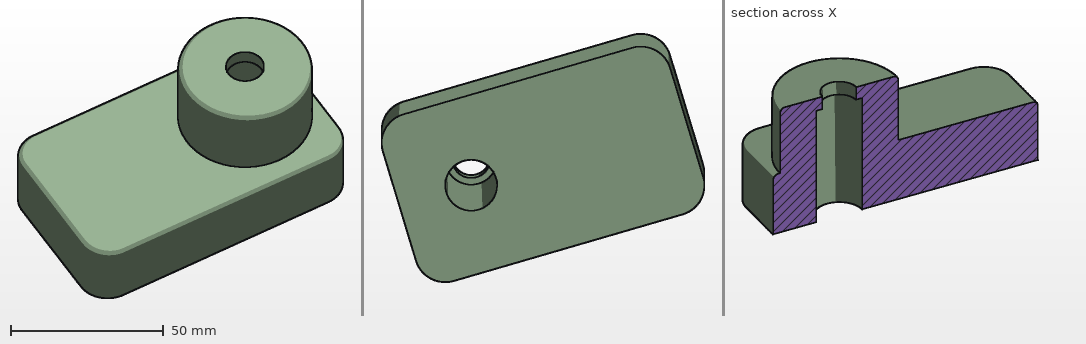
import cadquery as cq

base_width = 58.0
base_length = 98.0
base_height = 23.0
corner_radius = 10.0

total_height = 48.0
boss_diameter = 44.0
boss_center_y = 24.5

edge_radius = 2.0

hole_diameter = 12.4
bore_diameter = 17.0
roof_thickness = 5.0


def make_base():
    block = cq.Workplane("XY").box(base_width, base_length, base_height, centered=(True, True, False))
    return block.edges("|Z").fillet(corner_radius).faces(">Z").edges().fillet(edge_radius)


def boss_cylinder(diameter, bottom, top):
    return (
        cq.Workplane("XY", origin=(0, boss_center_y, bottom))
        .circle(diameter / 2)
        .extrude(top - bottom)
    )


boss = boss_cylinder(boss_diameter, 0, total_height).faces(">Z").edges().fillet(edge_radius)
bore = boss_cylinder(bore_diameter, 0, total_height - roof_thickness)
hole = boss_cylinder(hole_diameter, 0, total_height)

result = make_base().union(boss).cut(bore).cut(hole)